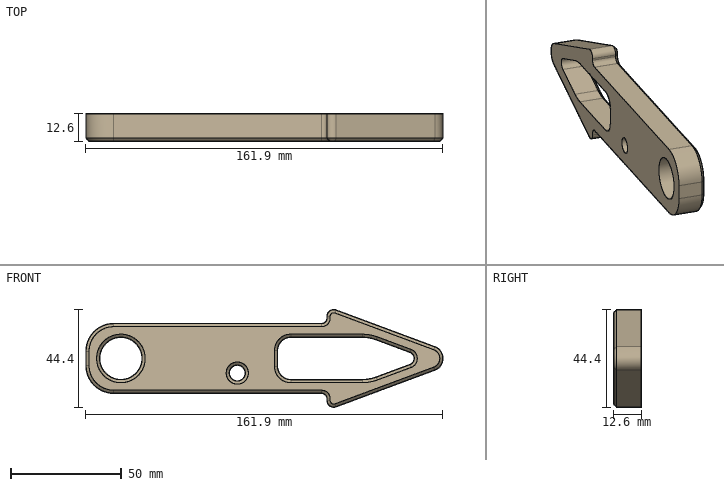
import cadquery as cq
import math

length = 161.9
thickness = 12.6
edge_chamfer = 1.5

shank_half_height = 15.9
end_corner_radius = 12.6

barb_x = 109.3
barb_radius = 3.0
barb_root_radius = 2.5
tip_radius = 5.7
taper_angle = math.radians(20.4)

pivot_x = 15.9
pivot_radius = 9.5
pin_x = 68.6
pin_z = -6.6
pin_radius = 3.5

window_start_x = 87.0
window_end_x = 148.8
window_half_height = 9.5
window_corner_radius = 6.0
window_bend_radius = 17.8
window_tip_radius = 2.9


def apex_x(rounded_end_x, radius):
    """X of the sharp point that a tip rounded with this radius comes from."""
    return rounded_end_x - radius + radius / math.sin(taper_angle)


def extrude_profile(points):
    """Prism from the front face (Y = 0) to the back face (Y = thickness)."""
    return cq.Workplane("XZ").polyline(points).close().extrude(-thickness)


def round_corners(prism, corners, radius):
    """Fillet the edges along Y that stand on the given (x, z) corners."""
    for x, z in corners:
        nearest = cq.selectors.NearestToPointSelector((x, thickness / 2, z))
        prism = prism.edges("|Y").edges(nearest).fillet(radius)
    return prism


def mirrored(x, z):
    return [(x, z), (x, -z)]


def make_body():
    apex = apex_x(length, tip_radius)
    barb_corner_z = (apex - barb_x) * math.tan(taper_angle)
    upper = [
        (0, shank_half_height),
        (barb_x, shank_half_height),
        (barb_x, barb_corner_z),
    ]
    lower = [(x, -z) for x, z in reversed(upper)]
    body = extrude_profile(upper + [(apex, 0)] + lower)
    body = round_corners(body, mirrored(0, shank_half_height), end_corner_radius)
    body = round_corners(body, mirrored(barb_x, shank_half_height), barb_root_radius)
    body = round_corners(body, mirrored(barb_x, barb_corner_z), barb_radius)
    return round_corners(body, [(apex, 0)], tip_radius)


def make_window():
    apex = apex_x(window_end_x, window_tip_radius)
    bend_x = apex - window_half_height / math.tan(taper_angle)
    upper = [(window_start_x, window_half_height), (bend_x, window_half_height)]
    lower = [(x, -z) for x, z in reversed(upper)]
    window = extrude_profile(upper + [(apex, 0)] + lower)
    window = round_corners(window, mirrored(window_start_x, window_half_height), window_corner_radius)
    window = round_corners(window, mirrored(bend_x, window_half_height), window_bend_radius)
    return round_corners(window, [(apex, 0)], window_tip_radius)


def make_hole(x, z, radius):
    return cq.Workplane("XZ").center(x, z).circle(radius).extrude(-thickness)


plate = (
    make_body()
    .cut(make_window())
    .cut(make_hole(pivot_x, 0, pivot_radius))
    .cut(make_hole(pin_x, pin_z, pin_radius))
)

result = plate.faces("<Y").edges().chamfer(edge_chamfer)